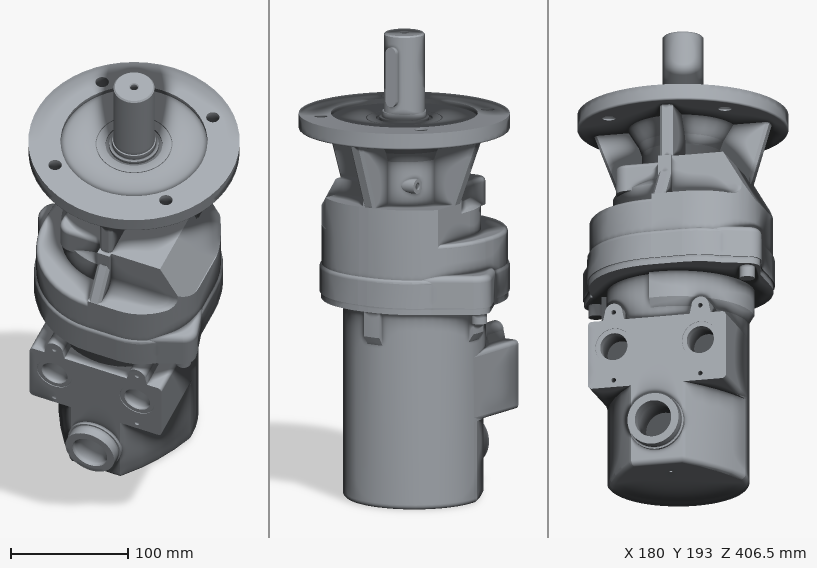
import cadquery as cq
import math


total_height = 406.5
shaft_dia = 35.0
shaft_chamfer = 1.2
shoulder_dia = 37.5
shoulder_top = 338.5
center_hole_dia = 6.5
center_sink_dia = 8.0
center_hole_depth = 20.5
key_width = 10.0
key_bottom = 345.0
key_top = 396.7
key_outer_y = 21.0

flange_dia = 180.0
flange_top = 336.5
flange_bottom = 322.8
flange_edge_radius = 1.5
recess_dia = 125.0
recess_depth = 4.0
recess_floor = flange_top - recess_depth
seal_dia = 65.5
seal_line_width = 1.0
seal_line_depth = 1.0
seal_pocket_dia = 48.5
seal_pocket_depth = 1.5
snap_ring_dia = 42.3
snap_ring_rise = 1.2
snap_ring_top = recess_floor + snap_ring_rise
flange_hole_dia = 11.5
flange_hole_pitch = 102.5

neck_radius = 35.0
neck_top = 301.0
flare_knee_radius = 38.0
flare_knee_height = 308.5
flare_top_radius = 48.0
rib_thickness = 12.0
rib_top_reach = 78.0
rib_edge_chamfer = 2.5
left_rib_foot = (54.5, 263.0)
right_rib_foot = (60.5, 267.0)
plug_dia = 13.0
plug_socket_dia = 6.5
plug_y = 24.0
plug_z = 280.0
plug_face_x = -29.5
plug_socket_depth = 4.0

drum_left_radius = 72.0
drum_front = -101.2
drum_back = 55.3
drum_right = 81.5
front_right_center = (27.5, -47.5)
front_right_radius = drum_right - front_right_center[0]
left_front_y = drum_front + drum_left_radius
back_y = drum_back - drum_left_radius
back_right_x = drum_right - drum_left_radius
drum_top_left = 232.5
drum_top_right = 236.0
drum_edge_radius = 3.3

plate_overhang = 1.83
plate_bottom = 172.8
plate_top = 203.2
plate_edge_radius = 3.5
rim_height = 5.5
rim_inset = 1.2
ear_top = 206.0
ear_edge_radius = 5.3
left_ear_center = (-73.5, 4.0)
left_ear_radius = 15.5
left_ear_front = -25.0
right_ear_radius = 12.0
left_bolt = (-77.0, 0.0)
right_bolt = (77.0, -73.0)
bolt_dia = 13.0
bolt_bottom = 162.5

tier_radius = 54.5
tier_y = -19.5
tier_front_top = 261.8
tier_front_chamfer = 7.7
tier_back_top = 263.5
cover_bottom = 251.5
cover_x = -43.5
cover_front = -67.0
cover_back = -5.0
cover_top = 275.5
cover_corner_radius = 11.5
cover_edge_radius = 3.5
block_top = 276.5
block_front = -76.5
block_back = 20.5
block_top_x = 56.5
block_foot_x = 80.5
block_blend_radius = 9.5
front_rib_width = 11.5
lower_rib_top = (-80.0, 263.0)
lower_rib_foot = (-101.0, drum_top_right)

motor_y = -15.5
motor_radius = 61.0
motor_bottom = 1.0
motor_edge_radius = 4.5
motor_front = -83.7
motor_flat_end = -20.5
front_pad_half_width = 24.8
front_pad_chamfer = 2.0
side_bulge = (45.5, -53.3)
foot_pin_dia = 2.5
foot_pin = (5.3, -57.7)

collar_radius = 66.0
collar_bottom = 150.0
collar_taper_height = 7.5
lug_half_width = 7.7

port_block_bottom = 72.0
port_block_top = 131.7
port_block_corner = 3.5
port_spacing = 76.5
port_z = 108.0
port_dia = 24.0
port_face_dia = 32.0
port_face_depth = 0.6
port_depth = 24.5
screw_hole_dia = 4.0
screw_hole_depth = 12.0
screw_low_z = 78.0
screw_high_z = 138.5
screw_lug_radius = 7.7
screw_lug_foot_width = 18.5
screw_lug_back = -55.3
screw_lug_edge_radius = 3.3
gland_z = 37.0
gland_dia = 45.0
gland_base_dia = 48.5
gland_base_front = -86.5
gland_front = -96.5
gland_bore_dia = 32.0
gland_bore_depth = 36.5

OVERLAP = 2.0


def cylinder(x, y, radius, bottom, top):
    """Vertical cylinder between two heights."""
    return cq.Workplane("XY", origin=(x, y, bottom)).circle(radius).extrude(top - bottom)


def box(x_min, x_max, y_min, y_max, bottom, top):
    """Axis-aligned box between limits."""
    size = (x_max - x_min, y_max - y_min, top - bottom)
    return cq.Workplane("XY").box(*size, centered=False).translate((x_min, y_min, bottom))


def disc_along_y(x, z, dia, front, back):
    """Horizontal cylinder along Y between two Y positions."""
    plane = cq.Workplane("XZ", origin=(x, back, z))
    return plane.circle(dia / 2).extrude(back - front)


def tangent_hull(big, big_radius, small, small_radius, bottom, top):
    """Prism around two circles joined by their two outer tangents."""
    dx = small[0] - big[0]
    dy = small[1] - big[1]
    heading = math.atan2(dy, dx)
    spread = math.acos((big_radius - small_radius) / math.hypot(dx, dy))

    def on_circle(center, radius, angle):
        return (center[0] + radius * math.cos(angle), center[1] + radius * math.sin(angle))

    outline = (
        cq.Workplane("XY", origin=(0, 0, bottom))
        .moveTo(*on_circle(big, big_radius, heading - spread))
        .lineTo(*on_circle(small, small_radius, heading - spread))
        .threePointArc(
            on_circle(small, small_radius, heading),
            on_circle(small, small_radius, heading + spread),
        )
        .lineTo(*on_circle(big, big_radius, heading + spread))
        .threePointArc(
            on_circle(big, big_radius, heading + math.pi),
            on_circle(big, big_radius, heading - spread),
        )
        .close()
    )
    return outline.extrude(top - bottom)


def make_flange():
    flange = cylinder(0, 0, flange_dia / 2, flange_bottom, flange_top)
    flange = flange.faces("<Z").edges().fillet(flange_edge_radius)
    flange = flange.cut(cylinder(0, 0, recess_dia / 2, recess_floor, flange_top))
    holes = (
        cq.Workplane("XY", origin=(0, 0, flange_bottom))
        .rect(flange_hole_pitch, flange_hole_pitch, forConstruction=True)
        .vertices()
        .circle(flange_hole_dia / 2)
        .extrude(flange_top - flange_bottom)
    )
    seal_line = (
        cq.Workplane("XY", origin=(0, 0, recess_floor - seal_line_depth))
        .circle(seal_dia / 2)
        .circle(seal_dia / 2 - seal_line_width)
        .extrude(seal_line_depth)
    )
    pocket_floor = recess_floor - seal_pocket_depth
    seal_pocket = cylinder(0, 0, seal_pocket_dia / 2, pocket_floor, recess_floor)
    snap_ring = cylinder(0, 0, snap_ring_dia / 2, pocket_floor - OVERLAP, snap_ring_top)
    return flange.cut(holes).cut(seal_line).cut(seal_pocket).union(snap_ring)


def make_shaft():
    shaft = cylinder(0, 0, shaft_dia / 2, flange_bottom, total_height)
    shaft = shaft.faces(">Z").chamfer(shaft_chamfer)
    shaft = shaft.union(cylinder(0, 0, shoulder_dia / 2, flange_bottom, shoulder_top))
    key_length = key_top - key_bottom
    key = (
        cq.Workplane("XZ", origin=(0, key_outer_y, (key_top + key_bottom) / 2))
        .slot2D(key_length, key_width, 90)
        .extrude(key_outer_y)
    )
    shaft = shaft.union(key)
    return (
        shaft.faces(">Z")
        .workplane(origin=(0, 0, total_height))
        .cskHole(center_hole_dia, center_sink_dia, 90, center_hole_depth)
    )


def make_neck():
    profile = [
        (0, drum_top_left),
        (neck_radius, drum_top_left),
        (neck_radius, neck_top),
        (flare_knee_radius, flare_knee_height),
        (flare_top_radius, flange_bottom + OVERLAP),
        (0, flange_bottom + OVERLAP),
    ]
    return cq.Workplane("XZ").polyline(profile).close().revolve(360, (0, 0, 0), (0, 1, 0))


def make_side_rib(foot, direction):
    """Vertical web whose free edge slopes in from the flange; direction is its angle about Z."""
    profile = [
        (0, drum_top_left),
        (foot[0], drum_top_left),
        foot,
        (rib_top_reach, flange_bottom + OVERLAP),
        (0, flange_bottom + OVERLAP),
    ]
    web = cq.Workplane("XZ").polyline(profile).close().extrude(rib_thickness / 2, both=True)
    web = web.edges("not(|X or |Y or |Z)").chamfer(rib_edge_chamfer)
    return web.rotate((0, 0, 0), (0, 0, 1), direction)


def make_front_rib():
    upper = box(0, front_rib_width, block_front, 0, block_top - OVERLAP, flange_bottom + OVERLAP)
    upper = upper.edges("|Z and <Y").chamfer(rib_edge_chamfer)
    profile = [
        (0, block_top),
        (lower_rib_top[0], block_top),
        lower_rib_top,
        lower_rib_foot,
        (lower_rib_foot[0], lower_rib_foot[1] - OVERLAP),
        (0, lower_rib_foot[1] - OVERLAP),
    ]
    lower = cq.Workplane("YZ").polyline(profile).close().extrude(front_rib_width)
    lower = lower.edges("not(|X or |Y or |Z)").chamfer(rib_edge_chamfer)
    return upper.union(lower)


def make_plug():
    plug = cq.Workplane("YZ", origin=(plug_face_x, plug_y, plug_z))
    plug = plug.circle(plug_dia / 2).extrude(-plug_face_x)
    return plug.faces("<X").workplane().hole(plug_socket_dia, plug_socket_depth)


def housing_prism(overhang, bottom, top):
    """Prism with the drum outline, widened all round by the overhang."""
    left = drum_left_radius + overhang
    right_radius = front_right_radius + overhang
    front = drum_front - overhang
    back = drum_back + overhang
    right = drum_right + overhang
    diagonal = math.sqrt(0.5)
    corner_x, corner_y = front_right_center
    outline = (
        cq.Workplane("XY", origin=(0, 0, bottom))
        .moveTo(0, front)
        .threePointArc((-left * diagonal, left_front_y - left * diagonal), (-left, left_front_y))
        .lineTo(-left, back_y)
        .threePointArc((-left * diagonal, back_y + left * diagonal), (0, back))
        .lineTo(back_right_x, back)
        .threePointArc((back_right_x + left * diagonal, back_y + left * diagonal), (right, back_y))
        .lineTo(right, corner_y)
        .threePointArc(
            (corner_x + right_radius * diagonal, corner_y - right_radius * diagonal),
            (corner_x, front),
        )
        .close()
    )
    return outline.extrude(top - bottom)


def make_plate():
    rim_top = plate_bottom + rim_height
    rim_overhang = plate_overhang - rim_inset
    plate = housing_prism(plate_overhang, rim_top, plate_top)
    plate = plate.faces(">Z").edges().fillet(plate_edge_radius)
    plate = plate.union(housing_prism(rim_overhang, plate_bottom, rim_top))
    left_area = box(-flange_dia, 0, left_ear_front, flange_dia, plate_bottom, ear_top)
    right_area = box(front_right_center[0], flange_dia, -flange_dia, 0, plate_bottom, ear_top)
    ears = [
        ((0, back_y), drum_left_radius, left_ear_center, left_ear_radius, left_area),
        (front_right_center, front_right_radius, right_bolt, right_ear_radius, right_area),
    ]
    for base, base_radius, tip, tip_radius, area in ears:
        ear = tangent_hull(base, base_radius, tip, tip_radius, rim_top, ear_top)
        ear = ear.faces(">Z").edges().fillet(ear_edge_radius)
        rim = tangent_hull(
            base, base_radius - rim_inset, tip, tip_radius - rim_inset, plate_bottom, rim_top
        )
        plate = plate.union(ear.union(rim).intersect(area))
    for bolt in (left_bolt, right_bolt):
        plate = plate.union(cylinder(*bolt, bolt_dia / 2, bolt_bottom, rim_top))
    return plate


def make_drum():
    left = housing_prism(0, plate_bottom, drum_top_left).faces(">Z").edges().fillet(drum_edge_radius)
    right_area = box(0, flange_dia, -flange_dia, flange_dia, plate_bottom, drum_top_right)
    right = housing_prism(0, plate_bottom, drum_top_right).intersect(right_area)
    return left.union(right)


def make_tier():
    """Round-fronted tier whose front rim is bevelled around the cover."""
    front = cylinder(0, tier_y, tier_radius, plate_top, tier_front_top)
    front = front.union(box(-tier_radius, tier_radius, tier_y, drum_back, plate_top, tier_front_top))
    front = front.faces(">Z").edges().chamfer(tier_front_chamfer)
    back = box(-tier_radius, tier_radius, cover_back, drum_back, plate_top, tier_back_top)
    return front.union(back).intersect(housing_prism(0, plate_top, tier_back_top))


def make_cover():
    cover = box(cover_x, OVERLAP, cover_front, cover_back, cover_bottom, cover_top)
    cover = cover.edges("|Z and <X").fillet(cover_corner_radius)
    return cover.faces(">Z").edges("not(>X)").fillet(cover_edge_radius)


def make_block():
    """Wedge-sided block right of the front rib, blended onto the drum at its front."""
    blend_top = drum_top_right + block_blend_radius
    side = [
        (0, drum_top_left),
        (block_foot_x, drum_top_left),
        (block_foot_x, drum_top_right),
        (block_top_x, block_top),
        (0, block_top),
    ]
    wedge = cq.Workplane("XZ", origin=(0, block_back, 0)).polyline(side).close().extrude(flange_dia)
    blend_front = block_front - block_blend_radius
    bulge = block_blend_radius * (1 - math.sqrt(0.5))
    section = (
        cq.Workplane("YZ")
        .moveTo(block_back, drum_top_left)
        .lineTo(blend_front, drum_top_left)
        .lineTo(blend_front, drum_top_right)
        .threePointArc(
            (block_front - bulge, drum_top_right + bulge),
            (block_front, blend_top),
        )
        .lineTo(block_front, block_top)
        .lineTo(block_back, block_top)
        .close()
        .extrude(flange_dia)
    )
    return wedge.intersect(section).intersect(housing_prism(0, drum_top_left, block_top))


def make_motor():
    bulge_x, bulge_y = side_bulge
    lower = (
        cq.Workplane("XY", origin=(0, 0, motor_bottom))
        .moveTo(-motor_radius, motor_y)
        .lineTo(-motor_radius, motor_flat_end)
        .threePointArc((-bulge_x, bulge_y), (-front_pad_half_width, motor_front + front_pad_chamfer))
        .lineTo(front_pad_chamfer - front_pad_half_width, motor_front)
        .lineTo(front_pad_half_width - front_pad_chamfer, motor_front)
        .lineTo(front_pad_half_width, motor_front + front_pad_chamfer)
        .threePointArc((bulge_x, bulge_y), (motor_radius, motor_flat_end))
        .lineTo(motor_radius, motor_y)
        .threePointArc((0, motor_y + motor_radius), (-motor_radius, motor_y))
        .close()
        .extrude(port_block_bottom - motor_bottom)
    )
    lower = lower.faces("<Z").edges().fillet(motor_edge_radius)
    upper = cylinder(0, motor_y, motor_radius, port_block_bottom, plate_bottom + OVERLAP)
    pin = cylinder(*foot_pin, foot_pin_dia / 2, 0, port_block_bottom)
    return lower.union(upper).union(pin)


def make_collar():
    """Collar on the front right quarter plus two lugs, tapering onto the motor below."""
    ring = cylinder(0, motor_y, collar_radius, collar_bottom, plate_bottom + OVERLAP)
    step = collar_radius - motor_radius
    taper = (
        cq.Workplane("XY", origin=(0, motor_y, collar_bottom - collar_taper_height))
        .circle(motor_radius)
        .workplane(offset=collar_taper_height)
        .circle(collar_radius)
        .loft()
    )
    ring = ring.union(taper)
    low = collar_bottom - collar_taper_height
    high = plate_bottom + OVERLAP
    far = collar_radius + step
    lug = lug_half_width
    quarter = box(-lug, far, motor_y - far, motor_y + lug, low, high)
    back_lug = box(-lug, lug, motor_y, motor_y + far, low, high)
    left_lug = box(-far, 0, motor_y - lug, motor_y + lug, low, high)
    return ring.intersect(quarter.union(back_lug).union(left_lug))


def make_port_block():
    block = box(-motor_radius, motor_radius, motor_front, motor_y, port_block_bottom, port_block_top)
    block = block.edges("|Y").fillet(port_block_corner)
    for x in (-port_spacing / 2, port_spacing / 2):
        lug = disc_along_y(x, screw_high_z, 2 * screw_lug_radius, motor_front, screw_lug_back)
        lug = lug.faces(">Y").edges().fillet(screw_lug_edge_radius)
        foot_half = screw_lug_foot_width / 2
        foot = [
            (x - foot_half, port_block_top - OVERLAP),
            (x + foot_half, port_block_top - OVERLAP),
            (x + foot_half, port_block_top),
            (x + screw_lug_radius, screw_high_z),
            (x - screw_lug_radius, screw_high_z),
            (x - foot_half, port_block_top),
        ]
        web = cq.Workplane("XZ", origin=(0, screw_lug_back - screw_lug_edge_radius, 0))
        web = web.polyline(foot).close().extrude(screw_lug_back - screw_lug_edge_radius - motor_front)
        block = block.union(lug).union(web)
    return block


def make_port_holes():
    holes = cq.Workplane("XY")
    for x in (-port_spacing / 2, port_spacing / 2):
        holes = holes.union(disc_along_y(x, port_z, port_dia, motor_front, motor_front + port_depth))
        face_floor = motor_front + port_face_depth
        holes = holes.union(disc_along_y(x, port_z, port_face_dia, motor_front, face_floor))
        for z in (screw_low_z, screw_high_z):
            floor = motor_front + screw_hole_depth
            holes = holes.union(disc_along_y(x, z, screw_hole_dia, motor_front, floor))
    return holes


def make_gland():
    inner_end = motor_front + OVERLAP
    base = disc_along_y(0, gland_z, gland_base_dia, gland_base_front, inner_end + OVERLAP)
    return base.union(disc_along_y(0, gland_z, gland_dia, gland_front, inner_end))


result = make_plate()
for feature in (
    make_drum(),
    make_tier(),
    make_cover(),
    make_block(),
    make_neck(),
    make_side_rib(left_rib_foot, 180),
    make_side_rib(left_rib_foot, 90),
    make_side_rib(right_rib_foot, 0),
    make_front_rib(),
    make_plug(),
    make_flange(),
    make_shaft(),
    make_motor(),
    make_collar(),
    make_port_block(),
    make_gland(),
):
    result = result.union(feature)

gland_bore = disc_along_y(0, gland_z, gland_bore_dia, gland_front, gland_front + gland_bore_depth)
result = result.cut(make_port_holes()).cut(gland_bore)